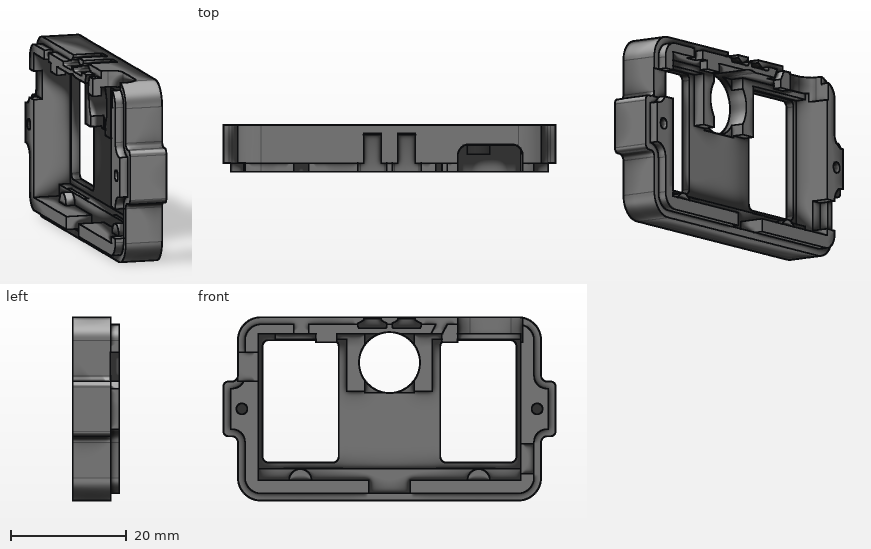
import cadquery as cq


FRAME_WIDTH = 52.4
FRAME_HEIGHT = 31.7
FRAME_DEPTH = 6.6
FRAME_CORNER_RADIUS = 4.0
TOTAL_WIDTH = 57.4
EAR_HEIGHT = 9.5
EAR_ROOT_RADIUS = 1.0
EAR_TIP_RADIUS = 0.9
TOTAL_DEPTH = 8.1
LIP_INSET = 1.25
PLATE_DEPTH = 1.5

TOP = FRAME_HEIGHT / 2
LIP_TOP = TOP - LIP_INSET
LIP_SIDE = FRAME_WIDTH / 2 - LIP_INSET

CAVITY_SIDE = 22.7
CAVITY_TOP = 13.0
CAVITY_BOTTOM = -12.35

WINDOW_INNER = 8.8
WINDOW_OUTER = 21.9
WINDOW_TOP = 11.85
WINDOW_BOTTOM = -9.25
WINDOW_RADIUS = 1.0

OPENING_RADIUS = 5.25
OPENING_Z = 8.0
BLOCK_SIDE = 7.35
BLOCK_BOTTOM = 3.05
CHANNEL_SIDE = 4.25
CHANNEL_FLOOR_DEPTH = 1.15

LEDGE_DEPTH = 3.5
TOP_LEDGE_LEFT = -19.7
TOP_LEDGE_BOTTOM = 12.0
BOTTOM_LEDGE_TOP = -10.3

RIDGE_INNER = 8.2
RIDGE_OUTER = 18.2
RIDGE_HEIGHT = 0.07
RIDGE_FRONT_SLOPE = 0.65
RIDGE_WIDTH = 0.9
STOP_X = 15.4
STOP_RADIUS = 1.95
STOP_DEPTH = 5.1

SCREW_HOLE_X = 25.5
SCREW_HOLE_RADIUS = 0.95
SCREW_HOLE_LENGTH = 5.0

SLOT_X = 2.95
SLOT_NECK = 1.5
SLOT_HALF_WIDTH = 2.5
SLOT_FLOOR = 13.9
SLOT_FLOOR_RADIUS = 0.4
SLOT_END_DEPTH = 1.4
SLOT_SHOULDER = 14.75
SLOT_NECK_BOTTOM = 15.35
SLOT_END_CHAMFER = 0.25

NOTCH_LEFT = 11.77
NOTCH_RIGHT = 23.05
NOTCH_START_DEPTH = 3.3
NOTCH_RADIUS = 2.1

TAB_BOTTOM = 11.5
LEFT_TAB = (-12.7, -9.1)
RIGHT_TAB = (9.05, NOTCH_LEFT)

TOP_GAP = (-16.5, -13.95)
SLANTED_GAP_TOP = (8.0, 10.0)
SLANTED_GAP_BOTTOM = (7.2, 9.1)
LEFT_GAP_TOP = 9.8
LEFT_GAP_BOTTOM = 4.8
LEFT_GAP_START_DEPTH = 6.5
BOTTOM_GAP_SIDE = 3.55
SIDE_POCKET_TOP = -6.0
SIDE_POCKET_BOTTOM = -11.2
SIDE_POCKET_START_DEPTH = 5.0


def at_depth(depth):
    """XZ workplane at the given depth; extrusions run toward -Y."""
    return cq.Workplane("XZ", origin=(0, -depth, 0))


def block(x_span, depth_span, z_span):
    """Box given by its limits in X, depth and Z."""
    x_min, x_max = x_span
    near, far = depth_span
    z_min, z_max = z_span
    return (
        at_depth(near)
        .center((x_min + x_max) / 2, (z_min + z_max) / 2)
        .rect(x_max - x_min, z_max - z_min)
        .extrude(far - near)
    )


def eared_slab(inset, depth_span):
    """Rounded rectangle with an ear on each side, shrunk evenly by inset."""
    half_width = FRAME_WIDTH / 2 - inset
    half_height = FRAME_HEIGHT / 2 - inset
    ear_side = TOTAL_WIDTH / 2 - inset
    ear_top = EAR_HEIGHT / 2 - inset

    def edges_at(solid, x):
        selector = cq.selectors.BoxSelector
        margin = 0.01
        deep = TOTAL_DEPTH
        right = selector((x - margin, -deep, -ear_top - margin), (x + margin, 0, ear_top + margin))
        left = selector((-x - margin, -deep, -ear_top - margin), (-x + margin, 0, ear_top + margin))
        return solid.edges("|Y").edges(right + left)

    slab = block((-half_width, half_width), depth_span, (-half_height, half_height))
    slab = slab.edges("|Y").fillet(FRAME_CORNER_RADIUS - inset)
    slab = slab.union(block((-ear_side, ear_side), depth_span, (-ear_top, ear_top)))
    slab = edges_at(slab, half_width).fillet(EAR_ROOT_RADIUS + inset)
    if inset < EAR_TIP_RADIUS:
        slab = edges_at(slab, ear_side).fillet(EAR_TIP_RADIUS - inset)
    return slab


def make_shell():
    """Frame and lip with the open cavity, leaving the back plate."""
    shell = eared_slab(0, (0, FRAME_DEPTH)).union(eared_slab(LIP_INSET, (FRAME_DEPTH, TOTAL_DEPTH)))
    cavity = block(
        (-CAVITY_SIDE, CAVITY_SIDE), (PLATE_DEPTH, TOTAL_DEPTH), (CAVITY_BOTTOM, CAVITY_TOP)
    )
    return shell.cut(cavity)


def make_windows():
    right = block(
        (WINDOW_INNER, WINDOW_OUTER), (0, PLATE_DEPTH), (WINDOW_BOTTOM, WINDOW_TOP)
    )
    right = right.edges("|Y").fillet(WINDOW_RADIUS)
    return right.union(right.mirror("YZ"))


def make_dovetail_slot(center_x):
    """Slot open at the top and front, with a chamfered upper end edge."""
    right_side = [
        (SLOT_HALF_WIDTH, SLOT_FLOOR),
        (SLOT_HALF_WIDTH, SLOT_SHOULDER),
        (SLOT_NECK, SLOT_NECK_BOTTOM),
        (SLOT_NECK, TOP),
    ]
    left_side = [(-x, z) for x, z in reversed(right_side)]
    start = SLOT_END_DEPTH + SLOT_END_CHAMFER
    slot = at_depth(start).polyline(right_side + left_side).close().extrude(TOTAL_DEPTH - start)
    slot = slot.faces("<Z").edges("|Y").fillet(SLOT_FLOOR_RADIUS)
    end_chamfer = (
        cq.Workplane("YZ", origin=(-SLOT_NECK, 0, 0))
        .polyline([(-SLOT_END_DEPTH, TOP), (-start, TOP), (-start, TOP - SLOT_END_CHAMFER)])
        .close()
        .extrude(2 * SLOT_NECK)
    )
    return slot.union(end_chamfer).translate((center_x, 0, 0))


def make_notch():
    notch = block(
        (NOTCH_LEFT, NOTCH_RIGHT), (NOTCH_START_DEPTH, TOTAL_DEPTH), (TAB_BOTTOM, TOP)
    )
    return notch.edges("|Z and >Y").fillet(NOTCH_RADIUS)


def make_slanted_gap():
    return (
        at_depth(FRAME_DEPTH)
        .polyline(
            [
                (SLANTED_GAP_BOTTOM[0], CAVITY_TOP),
                (SLANTED_GAP_BOTTOM[1], CAVITY_TOP),
                (SLANTED_GAP_TOP[1], LIP_TOP),
                (SLANTED_GAP_TOP[0], LIP_TOP),
            ]
        )
        .close()
        .extrude(TOTAL_DEPTH - FRAME_DEPTH)
    )


def cut_wall_gaps(body):
    lip_span = (FRAME_DEPTH, TOTAL_DEPTH)
    body = body.cut(block(TOP_GAP, lip_span, (CAVITY_TOP, LIP_TOP)))
    body = body.cut(make_slanted_gap())
    body = body.cut(
        block(
            (-FRAME_WIDTH / 2, -CAVITY_SIDE),
            (LEFT_GAP_START_DEPTH, TOTAL_DEPTH),
            (LEFT_GAP_BOTTOM, LEFT_GAP_TOP),
        )
    )
    body = body.cut(
        block(
            (-BOTTOM_GAP_SIDE, BOTTOM_GAP_SIDE), (LEDGE_DEPTH, TOTAL_DEPTH), (-LIP_TOP, CAVITY_BOTTOM)
        )
    )
    return body.cut(
        block(
            (CAVITY_SIDE, LIP_SIDE),
            (SIDE_POCKET_START_DEPTH, TOTAL_DEPTH),
            (SIDE_POCKET_BOTTOM, SIDE_POCKET_TOP),
        )
    )


def add_tabs(body):
    for tab_span in (LEFT_TAB, RIGHT_TAB):
        body = body.union(block(tab_span, (FRAME_DEPTH, TOTAL_DEPTH), (TAB_BOTTOM, CAVITY_TOP)))
    return body


def add_ledges(body):
    ledge_span = (PLATE_DEPTH, LEDGE_DEPTH)
    top_ledge = block((TOP_LEDGE_LEFT, CAVITY_SIDE), ledge_span, (TOP_LEDGE_BOTTOM, CAVITY_TOP))
    bottom_ledge = block(
        (-CAVITY_SIDE, CAVITY_SIDE), ledge_span, (CAVITY_BOTTOM, BOTTOM_LEDGE_TOP)
    )
    opening_block = block((-BLOCK_SIDE, BLOCK_SIDE), ledge_span, (BLOCK_BOTTOM, CAVITY_TOP))
    return body.union(top_ledge).union(bottom_ledge).union(opening_block)


def add_ridges_and_stops(body):
    ridge = (
        cq.Workplane("YZ", origin=(RIDGE_INNER, 0, 0))
        .polyline(
            [
                (-LEDGE_DEPTH, BOTTOM_LEDGE_TOP),
                (RIDGE_WIDTH - LEDGE_DEPTH, BOTTOM_LEDGE_TOP),
                (RIDGE_FRONT_SLOPE - LEDGE_DEPTH, BOTTOM_LEDGE_TOP + RIDGE_HEIGHT),
            ]
        )
        .close()
        .extrude(RIDGE_OUTER - RIDGE_INNER)
    )
    stop = (
        at_depth(LEDGE_DEPTH)
        .moveTo(STOP_X - STOP_RADIUS, CAVITY_BOTTOM)
        .threePointArc((STOP_X, CAVITY_BOTTOM + STOP_RADIUS), (STOP_X + STOP_RADIUS, CAVITY_BOTTOM))
        .close()
        .extrude(STOP_DEPTH - LEDGE_DEPTH)
    )
    for feature in (ridge, stop):
        body = body.union(feature).union(feature.mirror("YZ"))
    return body


def cut_round_opening(body):
    channel = block(
        (-CHANNEL_SIDE, CHANNEL_SIDE),
        (CHANNEL_FLOOR_DEPTH, LEDGE_DEPTH),
        (OPENING_Z - OPENING_RADIUS, CAVITY_TOP),
    )
    opening = at_depth(0).center(0, OPENING_Z).circle(OPENING_RADIUS).extrude(TOTAL_DEPTH)
    return body.cut(channel).cut(opening)


def cut_screw_holes(body):
    holes = (
        at_depth(TOTAL_DEPTH - SCREW_HOLE_LENGTH)
        .pushPoints([(-SCREW_HOLE_X, 0), (SCREW_HOLE_X, 0)])
        .circle(SCREW_HOLE_RADIUS)
        .extrude(SCREW_HOLE_LENGTH)
    )
    return body.cut(holes)


part = make_shell().cut(make_windows())
part = add_tabs(part)
part = part.cut(make_notch())
part = add_ledges(part)
part = cut_wall_gaps(part)
for slot_x in (-SLOT_X, SLOT_X):
    part = part.cut(make_dovetail_slot(slot_x))
part = add_ridges_and_stops(part)
part = cut_round_opening(part)
result = cut_screw_holes(part)